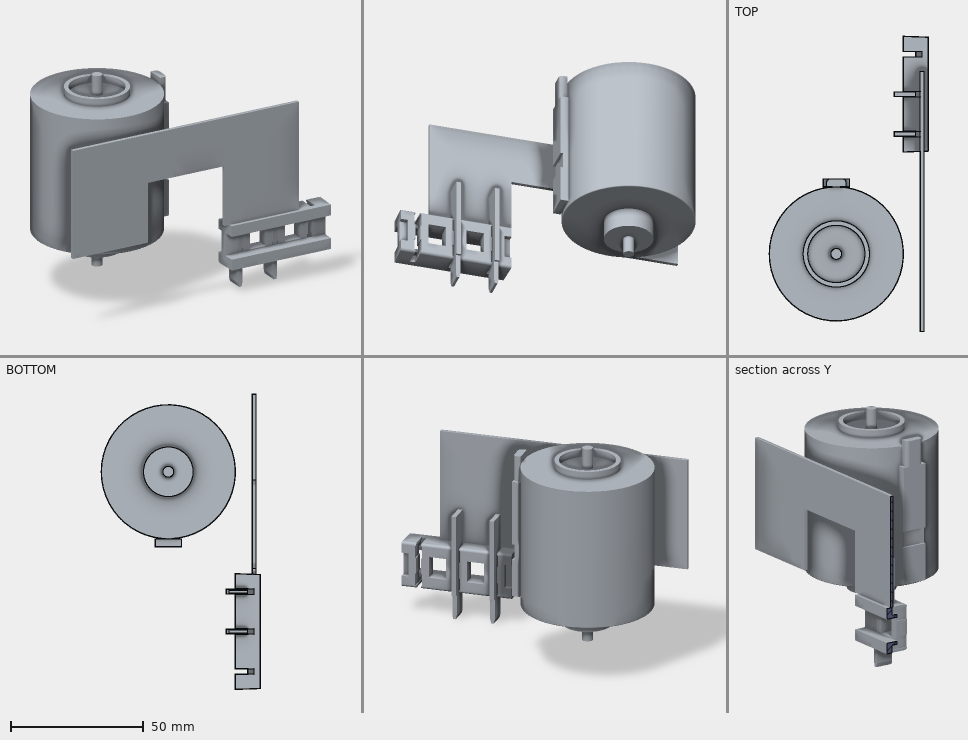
import cadquery as cq


can_radius = 25.3
can_height = 55.3
can_bottom_fillet = 0.35
ring_outer_radius = 12.5
ring_inner_radius = 10.8
ring_height = 3.0
boss_radius = 9.35
boss_length = 7.7
shaft_radius = 2.05
shaft_top = 63.3
shaft_bottom = -14.4

clip_thickness = 3.0
clip_back = can_radius
clip_front = clip_back + clip_thickness
clip_width = 10.0
clip_bottom = 1.6
clip_shoulder = 47.8
clip_top = 57.9
clip_tongue_width = 7.4
clip_tongue_fillet = 1.5
clip_notch_bottom = 16.2
clip_notch_top = 22.5
clip_notch_depth = 1.0

holder_left = 25.15
holder_right = 34.67
holder_end_max = 82.05
holder_length = 43.7
holder_end_draft = 0.35
holder_mid_z = -3.25
holder_height = 18.1
holder_edge_fillet = 1.0
holder_top = holder_mid_z + holder_height / 2
holder_bottom = holder_mid_z - holder_height / 2
web_right = 30.1
channel_height = 9.3
end_recess_length = 2.9
end_recess_depth = 2.05

slot_pitch = 15.05
slot_center_y = 60.2
slot_count = 3
slot_centers = [slot_center_y + (i - (slot_count - 1) / 2) * slot_pitch for i in range(slot_count)]
slot_width = 2.0
slot_mouth_width = 2.8
slot_mouth_inner = 3.1
slot_mouth_outer = holder_height / 2 - holder_edge_fillet
slot_bottom = 32.2
slot_ledge = 29.85
slot_ledge_half_height = 6.05
window_width = 6.9
window_height = 8.4
window_centers = [(a + b) / 2 for a, b in zip(slot_centers, slot_centers[1:])]

terminal_centers = slot_centers[:2]
terminal_thickness = 1.8
terminal_left = 21.8
terminal_tail_left = 22.8
terminal_top = 19.8
terminal_bottom = -21.96
terminal_tip_height = 1.6
terminal_tip_inset = 0.4

board_left = 31.6
board_thickness = 1.5
board_y_min = -29.25
board_y_max = 68.8
board_bottom = holder_top
board_top = 49.9
board_notch_y_max = 36.4
board_notch_y_min = board_y_min + board_y_max - board_notch_y_max
board_notch_top = 30.2


def box(x_range, y_range, z_range):
    """Box spanning the given (low, high) pairs."""
    spans = (x_range, y_range, z_range)
    sizes = [high - low for low, high in spans]
    corner = tuple(low for low, high in spans)
    return cq.Workplane("XY").box(*sizes, centered=False).translate(corner)


def around(center, width):
    """(low, high) pair of the given width about a centre."""
    return (center - width / 2, center + width / 2)


def make_motor():
    """Turned body: can with a rounded lower edge, top ring, bottom boss and shaft."""
    ring_top = can_height + ring_height
    half_profile = [
        (0, shaft_bottom),
        (shaft_radius, shaft_bottom),
        (shaft_radius, -boss_length),
        (boss_radius, -boss_length),
        (boss_radius, 0),
        (can_radius, 0),
        (can_radius, can_height),
        (ring_outer_radius, can_height),
        (ring_outer_radius, ring_top),
        (ring_inner_radius, ring_top),
        (ring_inner_radius, can_height),
        (shaft_radius, can_height),
        (shaft_radius, shaft_top),
        (0, shaft_top),
    ]
    motor = (
        cq.Workplane("XZ")
        .polyline([(-radius, z) for radius, z in half_profile])
        .close()
        .revolve(360, (0, 0), (0, 1))
    )
    can_rims = motor.edges("%CIRCLE").edges(cq.selectors.RadiusNthSelector(-1))
    return can_rims.edges("<Z").fillet(can_bottom_fillet)


def make_clip():
    """Flat strip with a narrower rounded tongue on top and a notch across its outer face."""
    strip = box(around(0, clip_width), (clip_back, clip_front), (clip_bottom, clip_shoulder))
    tongue = box(around(0, clip_tongue_width), (clip_back, clip_front), (clip_shoulder, clip_top))
    tongue = tongue.edges("|Z and >Y").fillet(clip_tongue_fillet)
    notch = box(
        around(0, clip_width),
        (clip_front - clip_notch_depth, clip_front),
        (clip_notch_bottom, clip_notch_top),
    )
    return strip.union(tongue).cut(notch)


def make_holder_blank():
    """Bar with drafted ends, rounded -X edges, a channel in +X and a recess at each end."""
    y_max = holder_end_max
    y_min = holder_end_max - holder_length
    blank = (
        cq.Workplane("XY", origin=(0, 0, holder_bottom))
        .polyline([
            (holder_left, y_min),
            (holder_right, y_min + holder_end_draft),
            (holder_right, y_max - holder_end_draft),
            (holder_left, y_max),
        ])
        .close()
        .extrude(holder_height)
        .edges("<X and |Y").fillet(holder_edge_fillet)
    )
    channel_z = around(holder_mid_z, channel_height)
    blank = blank.cut(box((web_right, holder_right), (y_min, y_max), channel_z))
    for low in (y_min, y_max - end_recess_length):
        recess_x = (holder_left, holder_left + end_recess_depth)
        blank = blank.cut(box(recess_x, (low, low + end_recess_length), channel_z))
    return blank


def slot_cutter(center):
    """Terminal slot with wider mouths above and below mid height and two ledges at its back."""
    depth = (holder_left, slot_bottom)
    cutter = box(depth, around(center, slot_width), (holder_bottom, holder_top))
    for side in (-1, 1):
        mouth_z = sorted(holder_mid_z + side * z for z in (slot_mouth_inner, slot_mouth_outer))
        cutter = cutter.union(box(depth, around(center, slot_mouth_width), mouth_z))
    for side in (-1, 1):
        ledge_z = sorted(holder_mid_z + side * z for z in (channel_height / 2, slot_ledge_half_height))
        cutter = cutter.cut(box((slot_ledge, slot_bottom), around(center, slot_mouth_width), ledge_z))
    return cutter


def make_holder():
    """Terminal holder with its slots and the windows between them."""
    body = make_holder_blank()
    for center in slot_centers:
        body = body.cut(slot_cutter(center))
    for center in window_centers:
        window_z = around(holder_mid_z, window_height)
        body = body.cut(box((holder_left, web_right), around(center, window_width), window_z))
    return body


def make_terminal(center):
    """Flat blade seated against the slot ledges, with a stepped tail and a tapered tip."""
    blade_y = around(center, terminal_thickness)
    blade = box((terminal_left, slot_ledge), blade_y, (holder_bottom, terminal_top))
    tail = (
        box((terminal_tail_left, slot_ledge), blade_y, (terminal_bottom, holder_bottom))
        .faces("<Z").edges("|X").chamfer(terminal_tip_height, terminal_tip_inset)
    )
    return blade.union(tail)


def make_board():
    """Thin board in the YZ plane with a rectangular notch in its lower edge."""
    board_x = (board_left, board_left + board_thickness)
    board = box(board_x, (board_y_min, board_y_max), (board_bottom, board_top))
    notch = box(board_x, (board_notch_y_min, board_notch_y_max), (board_bottom, board_notch_top))
    return board.cut(notch)


motor = make_motor()
clip = make_clip()
holder = make_holder()
terminals = [make_terminal(center) for center in terminal_centers]
board = make_board()

result = cq.Compound.makeCompound([
    motor.val(),
    clip.val(),
    holder.val(),
    *[terminal.val() for terminal in terminals],
    board.val(),
])